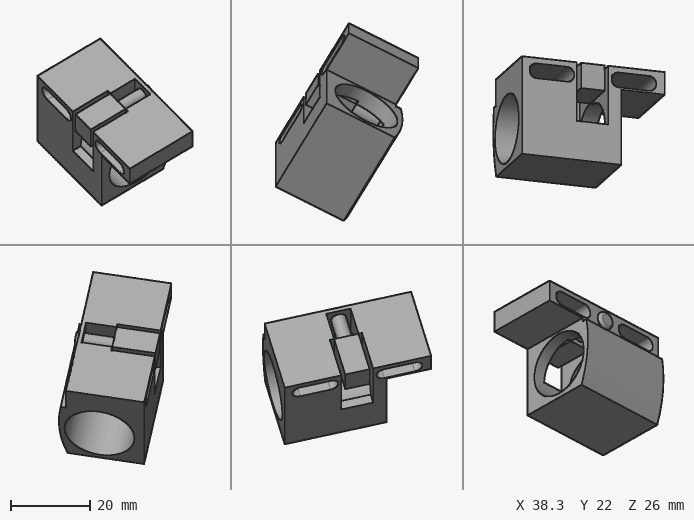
import cadquery as cq

length = 38.3
height = 26.0
body_length = 26.65
plate_depth = 20.1
plate_thickness = 6.0

bulge_depth = 22.0
bulge_height = 13.0
ledge_depth = 21.5
ledge_height = 19.0
bottom_depth = 19.7

bore_diameter = 18.0
bore_y = 11.5
bore_z = 10.25

clamp_x = 19.0
fastener_z = height - 3.5
slot_length = 12.0
slot_width = 4.0
slot_spacing = 22.0

window_x = 18.92
window_width = 8.4
window_depth = 11.15
window_floor = 10.38
pocket_width = 6.35
pocket_back = 19.0

jaw_bottom = bore_z + bore_diameter / 2
jaw_depth = window_depth - 0.05
screw_diameter = 4.0
head_diameter = 4.83
head_height = 0.95
head_rounding = 0.8


def box_between(x_middle, width, y_start, y_end, z_start, z_end):
    """Box centred on x_middle, spanning the given Y and Z ranges."""
    box = cq.Workplane("XY").box(width, y_end - y_start, z_end - z_start, centered=(True, False, False))
    return box.translate((x_middle, y_start, z_start))


def make_body():
    lower_block = (
        cq.Workplane("YZ")
        .lineTo(bottom_depth, 0)
        .threePointArc((bulge_depth, bulge_height), (ledge_depth, ledge_height))
        .lineTo(plate_depth, ledge_height)
        .lineTo(plate_depth, height)
        .lineTo(0, height)
        .close()
        .extrude(body_length)
    )
    plate = box_between(length / 2, length, 0, plate_depth, height - plate_thickness, height)
    return lower_block.union(plate)


def make_bore():
    return cq.Workplane("YZ").center(bore_y, bore_z).circle(bore_diameter / 2).extrude(body_length)


def make_mounting_slots():
    return (
        cq.Workplane("XZ")
        .pushPoints([(clamp_x + side * slot_spacing / 2, fastener_z) for side in (-1, 1)])
        .slot2D(slot_length, slot_width)
        .extrude(-plate_depth)
    )


def make_clamp_opening():
    window = box_between(window_x, window_width, 0, window_depth, window_floor, height)
    pocket = box_between(clamp_x, pocket_width, window_depth, pocket_back, bore_z, height)
    return window.union(pocket)


def make_jaw():
    return box_between(clamp_x, pocket_width, 0, jaw_depth, jaw_bottom, height)


def make_screw():
    shank_plane = cq.Workplane("XZ", origin=(clamp_x, jaw_depth, fastener_z))
    shank = shank_plane.circle(screw_diameter / 2).extrude(jaw_depth - plate_depth)
    head_plane = cq.Workplane("XZ", origin=(clamp_x, plate_depth, fastener_z))
    head = head_plane.circle(head_diameter / 2).extrude(-head_height).faces(">Y").edges().fillet(head_rounding)
    return shank.union(head)


result = (
    make_body()
    .cut(make_mounting_slots())
    .cut(make_clamp_opening())
    .cut(make_bore())
    .union(make_jaw())
    .union(make_screw())
)